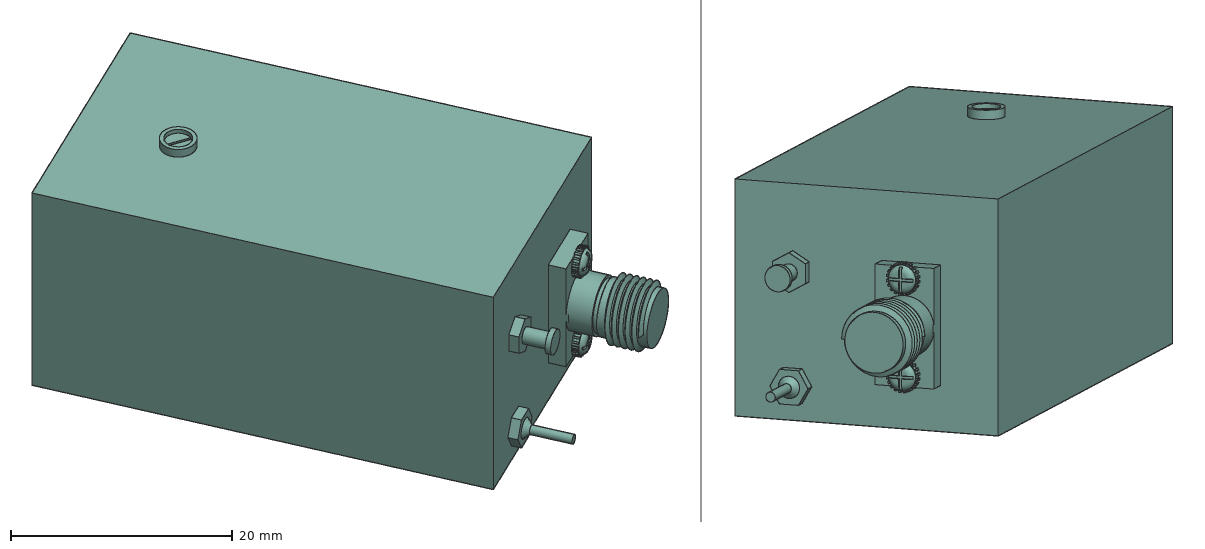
import cadquery as cq
import math

overall_length = 54.0
overall_height = 22.7

housing_length = 44.5
housing_width = 25.4
housing_height = 21.85

trimmer_x = 9.95
trimmer_y = -1.5
trimmer_diameter = 3.4
trimmer_height = overall_height - housing_height
trimmer_recess_diameter = 2.6
trimmer_recess_depth = 0.45
trimmer_slot_width = 0.2
trimmer_slot_depth = 0.2
trimmer_slot_angle = 45

connector_y = 4.3
connector_z = 9.8
plate_width = 5.65
plate_height = 11.1
plate_thickness = 1.75
barrel_diameter = 5.7
barrel_end = 4.2
barrel_flat_length = 0.2
neck_diameter = 5.2
neck_end = 4.65
core_diameter = 5.6
connector_length = overall_length - housing_length

thread_diameter = 6.7
thread_pitch = 0.65
thread_turns = 5.5
thread_start = 5.35
thread_root_width = 0.55
thread_root_overlap = 0.05

screw_spacing = 8.95
screw_rim_diameter = 3.0
screw_rim_height = 0.65
screw_rim_grooves = 20
screw_groove_width = 0.25
screw_groove_depth = 0.15
screw_dome_diameter = 2.65
screw_dome_tip_diameter = 1.5
screw_dome_bulge = 0.08
screw_height = 1.15
screw_cross_width = 0.25
screw_cross_depth = 0.2

terminal_y = -7.1
hex_across_flats = 3.2
hex_across_corners = hex_across_flats / math.cos(math.pi / 6)
terminal_base_thickness = 0.95

turret_z = 13.8
turret_post_diameter = 1.6
turret_flange_diameter = 2.45
turret_flange_start = 3.35
turret_length = 3.9

pin_z = 3.25
pin_hex_turn = 30
pin_diameter = 0.9
pin_length = 5.65
pin_collar_diameter = 2.05
pin_collar_length = 0.6


def cylinder(diameter, start, end):
    """Cylinder on the local Z axis between two heights."""
    return cq.Workplane("XY").workplane(offset=start).circle(diameter / 2).extrude(end - start)


def mount_on_end_face(body, y, z, base_offset=0.0):
    """Turn a body built along local +Z to point along +X and seat it on the +X face.

    Local X becomes -Z, and local Y stays Y.
    """
    turned = body.rotate((0, 0, 0), (0, 1, 0), 90)
    return turned.translate((housing_length + base_offset, y, z))


def make_housing():
    """Plain rectangular block."""
    return cq.Workplane("XY").box(housing_length, housing_width, housing_height, centered=(False, True, False))


def make_trimmer():
    """Round boss with a shallow recess and a screwdriver slot in the recess floor."""
    floor_height = trimmer_height - trimmer_recess_depth
    body = cylinder(trimmer_diameter, 0, trimmer_height)
    body = body.cut(cylinder(trimmer_recess_diameter, floor_height, trimmer_height))
    slot_region = cylinder(trimmer_recess_diameter, floor_height - trimmer_slot_depth, floor_height)
    slot_bar = (
        cq.Workplane("XY")
        .box(trimmer_diameter, trimmer_slot_width, trimmer_height, centered=(True, True, False))
        .rotate((0, 0, 0), (0, 0, 1), trimmer_slot_angle)
    )
    body = body.cut(slot_region.intersect(slot_bar))
    return body.translate((trimmer_x, trimmer_y, housing_height))


def make_thread():
    """Right-handed helical ridge that begins on the local +Y side."""
    root_radius = core_diameter / 2 - thread_root_overlap
    crest_radius = thread_diameter / 2
    path = cq.Wire.makeHelix(thread_pitch, thread_pitch * thread_turns, core_diameter / 2)
    ridge = (
        cq.Workplane("XZ")
        .moveTo(root_radius, -thread_root_width / 2)
        .lineTo(crest_radius, 0)
        .lineTo(root_radius, thread_root_width / 2)
        .close()
        .sweep(cq.Workplane(path), isFrenet=True)
    )
    return ridge.rotate((0, 0, 0), (0, 0, 1), 90).translate((0, 0, thread_start))


def make_connector():
    """Plate and stepped barrel with an external thread near the free end."""
    plate = cq.Workplane("XY").box(plate_height, plate_width, plate_thickness, centered=(True, True, False))
    flat_end = plate_thickness + barrel_flat_length
    flat_block = cq.Workplane("XY").box(plate_height, plate_width, flat_end, centered=(True, True, False))
    flattened_barrel = cylinder(barrel_diameter, 0, flat_end).intersect(flat_block)
    body = plate.union(flattened_barrel)
    body = body.union(cylinder(barrel_diameter, flat_end, barrel_end))
    body = body.union(cylinder(neck_diameter, barrel_end, neck_end))
    body = body.union(cylinder(core_diameter, neck_end, connector_length))
    body = body.union(make_thread())
    return mount_on_end_face(body, connector_y, connector_z)


def make_screw(z):
    """Screw head with a grooved rim, a domed top and a cross recess."""
    rim_radius = screw_rim_diameter / 2
    dome_radius = screw_dome_diameter / 2
    tip_radius = screw_dome_tip_diameter / 2
    shoulder_radius = (dome_radius + tip_radius) / 2 + screw_dome_bulge
    shoulder_height = (screw_rim_height + screw_height) / 2 + screw_dome_bulge
    body = (
        cq.Workplane("XZ")
        .lineTo(rim_radius, 0)
        .lineTo(rim_radius, screw_rim_height)
        .lineTo(dome_radius, screw_rim_height)
        .threePointArc((shoulder_radius, shoulder_height), (tip_radius, screw_height))
        .lineTo(0, screw_height)
        .close()
        .revolve(360, (0, 0), (0, 1))
    )
    grooves = (
        cq.Workplane("XY")
        .polarArray(rim_radius, 0, 360, screw_rim_grooves)
        .rect(2 * screw_groove_depth, screw_groove_width)
        .extrude(screw_rim_height)
    )
    body = body.cut(grooves)
    cross_floor = screw_height - screw_cross_depth
    for length, width in ((screw_rim_diameter, screw_cross_width), (screw_cross_width, screw_rim_diameter)):
        slot = cq.Workplane("XY").workplane(offset=cross_floor).rect(length, width).extrude(screw_cross_depth)
        body = body.cut(slot)
    return mount_on_end_face(body, connector_y, z, plate_thickness)


def make_hex_base():
    """Hexagonal base with two corners on the local X axis."""
    return cq.Workplane("XY").polygon(6, hex_across_corners).extrude(terminal_base_thickness)


def make_turret():
    """Solder post with an end flange; the hexagon has a corner at the top."""
    body = make_hex_base()
    body = body.union(cylinder(turret_post_diameter, terminal_base_thickness, turret_flange_start))
    body = body.union(cylinder(turret_flange_diameter, turret_flange_start, turret_length))
    return mount_on_end_face(body, terminal_y, turret_z)


def make_feedthrough():
    """Thin pin with a conical collar; the hexagon has a flat at the top."""
    collar = cq.Workplane("XY").add(
        cq.Solid.makeCone(
            pin_collar_diameter / 2,
            pin_diameter / 2,
            pin_collar_length,
            pnt=cq.Vector(0, 0, terminal_base_thickness),
        )
    )
    body = make_hex_base().rotate((0, 0, 0), (0, 0, 1), pin_hex_turn)
    body = body.union(collar)
    body = body.union(cylinder(pin_diameter, terminal_base_thickness, pin_length))
    return mount_on_end_face(body, terminal_y, pin_z)


housing = make_housing()
trimmer = make_trimmer()
connector = make_connector()
screws = [make_screw(connector_z + side * screw_spacing / 2) for side in (-1, 1)]
turret = make_turret()
feedthrough = make_feedthrough()

result = cq.Compound.makeCompound(
    [
        housing.val(),
        trimmer.val(),
        connector.val(),
        *[screw.val() for screw in screws],
        turret.val(),
        feedthrough.val(),
    ]
)